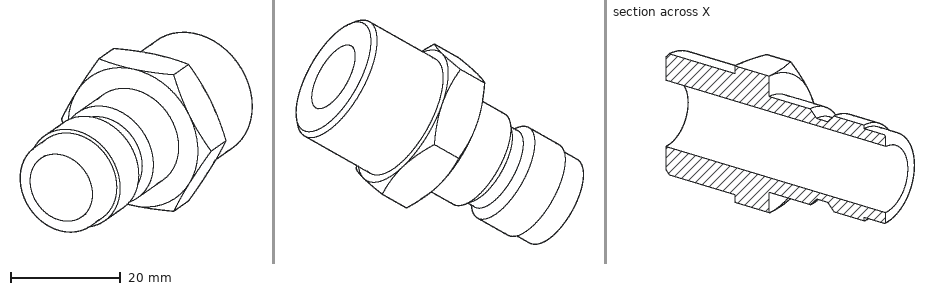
import cadquery as cq
import math

NOSE_END = 5.0
COLLAR_END = 12.0
GROOVE_START = 13.5
GROOVE_END = 16.0
SHANK_START = 17.5
HEX_START = 27.0
HEX_END = 35.0
TOTAL_LENGTH = 51.0

BORE_DIAMETER = 13.0
NOSE_DIAMETER = 17.6
BODY_DIAMETER = 19.0
GROOVE_DIAMETER = 16.0
THREAD_DIAMETER = 24.0
HEX_SIDES = 6
HEX_ACROSS_FLATS = 27.0

NOSE_ROUND = 0.5
THREAD_CHAMFER = 0.8
HEX_CHAMFER_ANGLE = 30.0

HEX_ACROSS_CORNERS = HEX_ACROSS_FLATS / math.cos(math.pi / HEX_SIDES)


def revolve_about_y(profile):
    """Close an XY profile (X is radius) and revolve it a full turn about the Y axis."""
    return profile.close().revolve(360, (0, 0, 0), (0, 1, 0))


def turned_body():
    """Stepped plug, locking groove and threaded end as one solid of revolution."""
    nose = NOSE_DIAMETER / 2
    body = BODY_DIAMETER / 2
    groove = GROOVE_DIAMETER / 2
    thread = THREAD_DIAMETER / 2
    profile = (
        cq.Workplane("XY")
        .lineTo(nose - NOSE_ROUND, 0)
        .radiusArc((nose, NOSE_ROUND), -NOSE_ROUND)
        .lineTo(nose, NOSE_END)
        .lineTo(body, NOSE_END)
        .lineTo(body, COLLAR_END)
        .lineTo(groove, GROOVE_START)
        .lineTo(groove, GROOVE_END)
        .lineTo(body, SHANK_START)
        .lineTo(body, HEX_START)
        .lineTo(thread, HEX_START)
        .lineTo(thread, TOTAL_LENGTH - THREAD_CHAMFER)
        .lineTo(thread - THREAD_CHAMFER, TOTAL_LENGTH)
        .lineTo(0, TOTAL_LENGTH)
    )
    return revolve_about_y(profile)


def chamfered_hex():
    """Wrench hexagon with corners on the X axis, turned down conically at both faces."""
    prism = (
        cq.Workplane("XZ", origin=(0, HEX_START, 0))
        .polygon(HEX_SIDES, HEX_ACROSS_CORNERS)
        .extrude(-(HEX_END - HEX_START))
    )
    face_radius = HEX_ACROSS_FLATS / 2
    corner_radius = HEX_ACROSS_CORNERS / 2
    drop = (corner_radius - face_radius) * math.tan(math.radians(HEX_CHAMFER_ANGLE))
    envelope = (
        cq.Workplane("XY")
        .moveTo(0, HEX_START)
        .lineTo(face_radius, HEX_START)
        .lineTo(corner_radius, HEX_START + drop)
        .lineTo(corner_radius, HEX_END - drop)
        .lineTo(face_radius, HEX_END)
        .lineTo(0, HEX_END)
    )
    return prism.intersect(revolve_about_y(envelope))


def through_bore():
    """Flow passage along the whole length."""
    return cq.Workplane("XZ").circle(BORE_DIAMETER / 2).extrude(-TOTAL_LENGTH)


result = turned_body().union(chamfered_hex()).cut(through_bore())